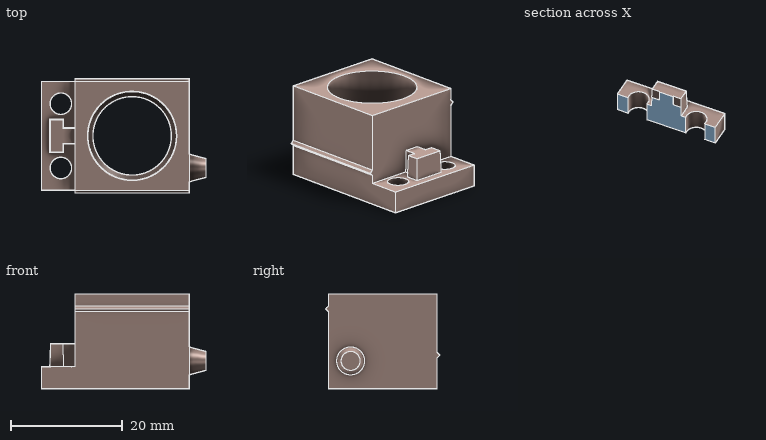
import cadquery as cq
import math

body_width = 19.5
body_height = 17.0
block_length = 20.5
flange_length = 6.0
flange_height = 4.0
body_length = flange_length + block_length

bore_top_diameter = 16.0
bore_seat_diameter = 15.85
bore_bottom_diameter = 14.0
bore_seat_slope = 30.0
bore_x = flange_length + block_length / 2

screw_hole_diameter = 3.8
screw_hole_x = 3.5
screw_hole_spacing = 11.5

key_height = 4.1
key_draft_angle = 2.0
key_head_x = 1.5
key_head_thickness = 2.5
key_head_width = 6.0
key_stem_width = 3.0
key_stem_overlap = 1.0

ridge_depth = 0.5
ridge_height = 2 * ridge_depth
front_ridge_z = 14.3
back_ridge_z = 6.05

peg_length = 3.0
peg_base_radius = 2.5
peg_draft_angle = 15.0
peg_y = -5.75
peg_z = 5.0


def make_body():
    """L-shaped profile drawn in XZ and extruded across the width."""
    return (
        cq.Workplane("XZ")
        .moveTo(0, 0)
        .lineTo(body_length, 0)
        .lineTo(body_length, body_height)
        .lineTo(flange_length, body_height)
        .lineTo(flange_length, flange_height)
        .lineTo(0, flange_height)
        .close()
        .extrude(body_width / 2, both=True)
    )


def make_bore():
    """Drafted bore with a conical seat where it meets the bottom face."""
    top_radius = bore_top_diameter / 2
    bottom_radius = bore_bottom_diameter / 2
    seat_radius = bore_seat_diameter / 2
    seat_height = (seat_radius - bottom_radius) * math.tan(math.radians(bore_seat_slope))
    return (
        cq.Workplane("XZ")
        .moveTo(0, 0)
        .lineTo(bottom_radius, 0)
        .lineTo(seat_radius, seat_height)
        .lineTo(top_radius, body_height)
        .lineTo(0, body_height)
        .close()
        .revolve(360, (0, 0, 0), (0, 1, 0))
        .translate((bore_x, 0, 0))
    )


def make_screw_holes():
    half_spacing = screw_hole_spacing / 2
    return (
        cq.Workplane("XY")
        .pushPoints([(screw_hole_x, -half_spacing), (screw_hole_x, half_spacing)])
        .circle(screw_hole_diameter / 2)
        .extrude(flange_height)
    )


def make_drafted_bar(start_x, end_x, width):
    """Rectangular bar standing on the flange, narrowing upwards on all four sides."""
    length = end_x - start_x
    return (
        cq.Workplane("XY", origin=(start_x + length / 2, 0, flange_height))
        .rect(length, width)
        .extrude(key_height, taper=key_draft_angle)
    )


def make_key():
    """Head and stem of the T; the stem's drafted ends are buried in the head and the block."""
    head_end_x = key_head_x + key_head_thickness
    head = make_drafted_bar(key_head_x, head_end_x, key_head_width)
    stem = make_drafted_bar(
        head_end_x - key_stem_overlap,
        flange_length + key_stem_overlap,
        key_stem_width,
    )
    return head.union(stem)


def make_ridge(side, center_z):
    """Triangular ridge along the block; side is -1 for the -Y face, +1 for +Y."""
    face_y = side * body_width / 2
    return (
        cq.Workplane("YZ", origin=(flange_length, 0, 0))
        .moveTo(face_y, center_z - ridge_height / 2)
        .lineTo(face_y + side * ridge_depth, center_z)
        .lineTo(face_y, center_z + ridge_height / 2)
        .close()
        .extrude(block_length)
    )


def make_peg():
    """Truncated cone pointing along +X."""
    tip_radius = peg_base_radius - peg_length * math.tan(math.radians(peg_draft_angle))
    return cq.Workplane(
        cq.Solid.makeCone(
            peg_base_radius,
            tip_radius,
            peg_length,
            pnt=cq.Vector(body_length, peg_y, peg_z),
            dir=cq.Vector(1, 0, 0),
        )
    )


result = (
    make_body()
    .union(make_key())
    .union(make_ridge(-1, front_ridge_z))
    .union(make_ridge(1, back_ridge_z))
    .union(make_peg())
    .cut(make_bore())
    .cut(make_screw_holes())
)